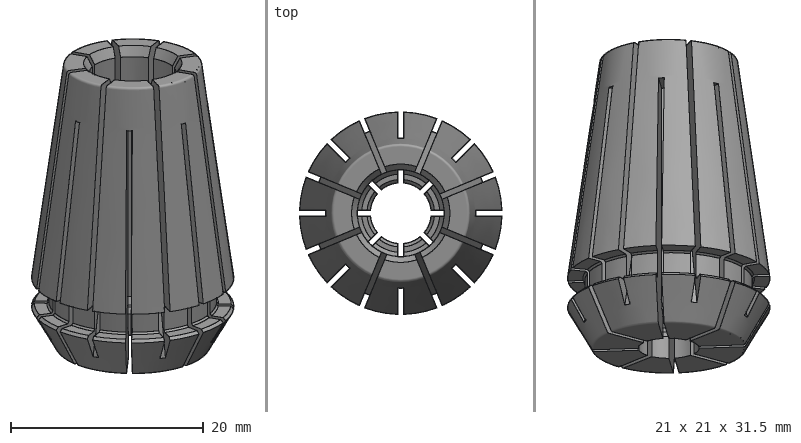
import cadquery as cq
import math

total_height = 31.5
max_radius = 10.5
nose_half_angle = 30.0
taper_half_angle = 8.0

nose_rim_z = 4.45
flange_bevel = 0.3
flange_top_z = nose_rim_z + flange_bevel
groove_top_z = 7.65
groove_radius = 8.7
groove_bevel = 0.2
end_edge_fillet = 0.3

relief_radius = 4.5
mouth_radius = 5.1
clamp_radius = 3.15
ledge_inner_radius = 3.5
ledge_outer_radius = 4.05
ledge_z = 3.0
bore_cone_half_angle = 30.0

slots_per_set = 8
slot_width = 0.6
slot_pitch = 360.0 / slots_per_set
lower_slot_top_z = 27.0
upper_slot_outlet_z = 2.0
upper_slot_floor_angle = 75.0
slot_clearance = 1.0
slot_reach = max_radius + slot_clearance

bore_cone_slope = math.tan(math.radians(bore_cone_half_angle))
mouth_depth = (mouth_radius - relief_radius) / bore_cone_slope
clamp_top_z = ledge_z - (ledge_inner_radius - clamp_radius) / bore_cone_slope
relief_bottom_z = ledge_z + (relief_radius - ledge_outer_radius) / bore_cone_slope

nose_slope = math.tan(math.radians(nose_half_angle))
taper_slope = math.tan(math.radians(taper_half_angle))
nose_radius = max_radius - nose_rim_z * nose_slope
top_radius = max_radius - (total_height - groove_top_z) * taper_slope


def cone_body():
    """Nose cone, groove and long taper revolved as one solid."""
    profile = (
        cq.Workplane("XZ")
        .lineTo(nose_radius, 0)
        .lineTo(max_radius, nose_rim_z)
        .lineTo(max_radius - flange_bevel, flange_top_z)
        .lineTo(groove_radius + groove_bevel, flange_top_z)
        .lineTo(groove_radius, flange_top_z + groove_bevel)
        .lineTo(groove_radius, groove_top_z - groove_bevel)
        .lineTo(groove_radius + groove_bevel, groove_top_z)
        .lineTo(max_radius, groove_top_z)
        .lineTo(top_radius, total_height)
        .lineTo(0, total_height)
        .close()
    )
    body = profile.revolve(360, (0, 0), (0, 1))
    return body.faces("<Z or >Z").edges().fillet(end_edge_fillet)


def bore():
    """Clamping bore at the nose, opening through a ledge into the wider relief bore."""
    profile = (
        cq.Workplane("XZ")
        .lineTo(clamp_radius, 0)
        .lineTo(clamp_radius, clamp_top_z)
        .lineTo(ledge_inner_radius, ledge_z)
        .lineTo(ledge_outer_radius, ledge_z)
        .lineTo(relief_radius, relief_bottom_z)
        .lineTo(relief_radius, total_height - mouth_depth)
        .lineTo(mouth_radius, total_height)
        .lineTo(0, total_height)
        .close()
    )
    return profile.revolve(360, (0, 0), (0, 1))


def lower_slot():
    """Slot from the nose end, stopping short of the top."""
    return cq.Workplane("XY").box(
        slot_reach, slot_width, lower_slot_top_z, centered=(False, True, False)
    )


def upper_slot():
    """Slot from the top end, its floor sloping down from the bore to the nose cone."""
    floor_slope = math.tan(math.radians(upper_slot_floor_angle))
    outlet_radius = nose_radius + upper_slot_outlet_z * nose_slope

    def floor_radius(z):
        return outlet_radius - (z - upper_slot_outlet_z) / floor_slope

    return (
        cq.Workplane("XZ")
        .moveTo(floor_radius(0), 0)
        .lineTo(slot_reach, 0)
        .lineTo(slot_reach, total_height)
        .lineTo(floor_radius(total_height), total_height)
        .close()
        .extrude(slot_width / 2, both=True)
    )


def turned(slot, angle):
    """Slot turned about the Z axis."""
    return slot.rotate((0, 0, 0), (0, 0, 1), angle)


result = cone_body().cut(bore())
for index in range(slots_per_set):
    lower_angle = index * slot_pitch
    upper_angle = lower_angle + slot_pitch / 2
    result = result.cut(turned(lower_slot(), lower_angle))
    result = result.cut(turned(upper_slot(), upper_angle))